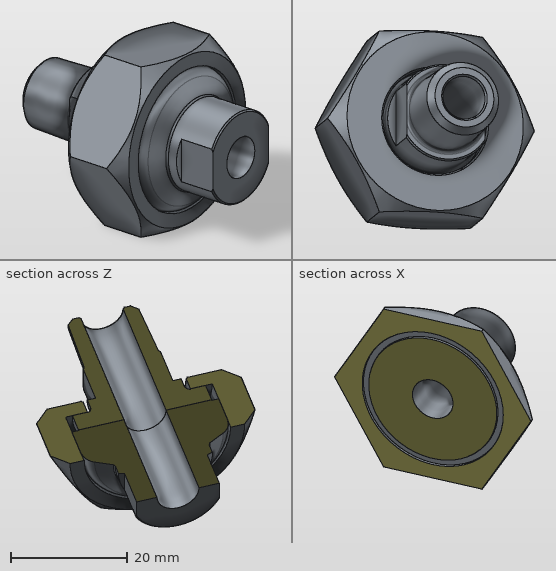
import cadquery as cq
import math


LENGTH = 44.5
BORE_R = 7.5 / 2
BARREL_R = 17.0 / 2
BARREL_EDGE = 0.25
JOINT_X = 25.35

NUT_FRONT = 18.95
NUT_BACK = 32.5
NUT_FLATS = 32.0
NUT_FACE_R = 15.75
NUT_LIP = 2.85
NUT_MOUTH_R = 18.5 / 2
NUT_MOUTH_CHAMFER = 0.3
NUT_THREAD_R = 26.4 / 2
NUT_SEAT_X = NUT_FRONT + NUT_LIP

MALE_TIP_R = 5.25
MALE_TIP_CHAMFER = 1.15
MALE_TAPER = 1 / 32
MALE_THREAD_END = 11.25
MALE_SHOULDER_X = 11.95
MALE_ROOT_FILLET = MALE_SHOULDER_X - MALE_THREAD_END
MALE_BORE_CHAMFER = 0.3
MALE_FLATS = 14.0
MALE_FLAT_END = NUT_FRONT
COLLAR_R = 24.1 / 2
COLLAR_FILLET = 1.0

DOME_R = 3.0
CONE_END_X = 34.95
CONE_END_R = 8.7
CONE_ANGLE = math.radians(62)
FEMALE_BARREL_X = 35.35
FEMALE_FLATS = 15.0
FEMALE_FLAT_START = 37.45
FLAT_WALL_ANGLE = math.radians(17)


def revolve(profile):
    """Close a profile of (x, radius) points and turn it about the X axis."""
    return profile.close().revolve(360, (0, 0, 0), (1, 0, 0))


def bore(start, end):
    return cq.Workplane("YZ").workplane(offset=start).circle(BORE_R).extrude(end - start)


def make_nut():
    hexagon = (
        cq.Workplane("YZ").workplane(offset=NUT_FRONT)
        .polygon(6, NUT_FLATS, circumscribed=True)
        .extrude(NUT_BACK - NUT_FRONT)
        .rotate((0, 0, 0), (1, 0, 0), 30)
    )
    half_width = (NUT_BACK - NUT_FRONT) / 2
    middle = NUT_FRONT + half_width
    trim = revolve(
        cq.Workplane("XY").moveTo(NUT_FRONT, 0)
        .lineTo(NUT_FRONT, NUT_FACE_R)
        .lineTo(middle, NUT_FACE_R + half_width)
        .lineTo(NUT_BACK, NUT_FACE_R)
        .lineTo(NUT_BACK, 0)
    )
    opening = revolve(
        cq.Workplane("XY").moveTo(NUT_FRONT, 0)
        .lineTo(NUT_FRONT, NUT_MOUTH_R + NUT_MOUTH_CHAMFER)
        .lineTo(NUT_FRONT + NUT_MOUTH_CHAMFER, NUT_MOUTH_R)
        .lineTo(NUT_SEAT_X, NUT_MOUTH_R)
        .lineTo(NUT_SEAT_X, NUT_THREAD_R)
        .lineTo(NUT_BACK, NUT_THREAD_R)
        .lineTo(NUT_BACK, 0)
    )
    return hexagon.intersect(trim).cut(opening)


def male_flat_cutter(side):
    """Block that leaves a wrench flat on the +Y (1) or -Y (-1) side."""
    length = MALE_FLAT_END - MALE_THREAD_END
    return cq.Workplane("XY").box(length, BARREL_R, 2 * BARREL_R).translate(
        (MALE_THREAD_END + length / 2, side * (MALE_FLATS + BARREL_R) / 2, 0)
    )


def make_male_tail():
    thread_start_r = MALE_TIP_R + MALE_TIP_CHAMFER
    thread_end_r = thread_start_r + MALE_TAPER * (MALE_THREAD_END - MALE_TIP_CHAMFER)
    root_r = thread_end_r + MALE_ROOT_FILLET
    diagonal = math.sqrt(0.5)
    body = revolve(
        cq.Workplane("XY").moveTo(0, 0)
        .lineTo(0, MALE_TIP_R)
        .lineTo(MALE_TIP_CHAMFER, thread_start_r)
        .lineTo(MALE_THREAD_END, thread_end_r)
        .threePointArc(
            (MALE_THREAD_END + MALE_ROOT_FILLET * diagonal, root_r - MALE_ROOT_FILLET * diagonal),
            (MALE_SHOULDER_X, root_r),
        )
        .lineTo(MALE_SHOULDER_X, BARREL_R - BARREL_EDGE)
        .lineTo(MALE_SHOULDER_X + BARREL_EDGE, BARREL_R)
        .lineTo(NUT_SEAT_X - COLLAR_FILLET, BARREL_R)
        .threePointArc(
            (
                NUT_SEAT_X - COLLAR_FILLET * (1 - diagonal),
                BARREL_R + COLLAR_FILLET * (1 - diagonal),
            ),
            (NUT_SEAT_X, BARREL_R + COLLAR_FILLET),
        )
        .lineTo(NUT_SEAT_X, COLLAR_R)
        .lineTo(JOINT_X, COLLAR_R)
        .lineTo(JOINT_X, 0)
    )
    for side in (-1, 1):
        body = body.cut(male_flat_cutter(side))
    bore_entry = revolve(
        cq.Workplane("XY").moveTo(0, 0)
        .lineTo(0, BORE_R + MALE_BORE_CHAMFER)
        .lineTo(MALE_BORE_CHAMFER, BORE_R)
        .lineTo(MALE_BORE_CHAMFER, 0)
    )
    return body.cut(bore(0, JOINT_X)).cut(bore_entry)


def female_flat_cutter(side):
    """Block with a slanted end wall that leaves a wrench flat on one Y side."""
    flat_y = FEMALE_FLATS / 2
    wall_shift = (BARREL_R - flat_y) * math.tan(FLAT_WALL_ANGLE)
    return (
        cq.Workplane("XY").workplane(offset=-BARREL_R)
        .moveTo(FEMALE_FLAT_START, side * flat_y)
        .lineTo(FEMALE_FLAT_START - wall_shift, side * BARREL_R)
        .lineTo(LENGTH, side * BARREL_R)
        .lineTo(LENGTH, side * flat_y)
        .close().extrude(2 * BARREL_R)
    )


def make_female_tail():
    drop = DOME_R * (1 - math.cos(CONE_ANGLE))
    dome_end_r = NUT_THREAD_R - drop
    dome_end_x = CONE_END_X - (dome_end_r - CONE_END_R) / math.tan(CONE_ANGLE)
    dome_start_x = dome_end_x - DOME_R * math.sin(CONE_ANGLE)
    dome_mid = (
        dome_start_x + DOME_R * math.sin(CONE_ANGLE / 2),
        NUT_THREAD_R - DOME_R * (1 - math.cos(CONE_ANGLE / 2)),
    )
    body = revolve(
        cq.Workplane("XY").moveTo(JOINT_X, 0)
        .lineTo(JOINT_X, NUT_THREAD_R)
        .lineTo(dome_start_x, NUT_THREAD_R)
        .threePointArc(dome_mid, (dome_end_x, dome_end_r))
        .lineTo(CONE_END_X, CONE_END_R)
        .lineTo(FEMALE_BARREL_X, BARREL_R)
        .lineTo(LENGTH - BARREL_EDGE, BARREL_R)
        .lineTo(LENGTH, BARREL_R - BARREL_EDGE)
        .lineTo(LENGTH, 0)
    )
    for side in (-1, 1):
        body = body.cut(female_flat_cutter(side))
    return body.cut(bore(JOINT_X, LENGTH))


nut = make_nut()
male_tail = make_male_tail()
female_tail = make_female_tail()

result = cq.Compound.makeCompound([nut.val(), male_tail.val(), female_tail.val()])